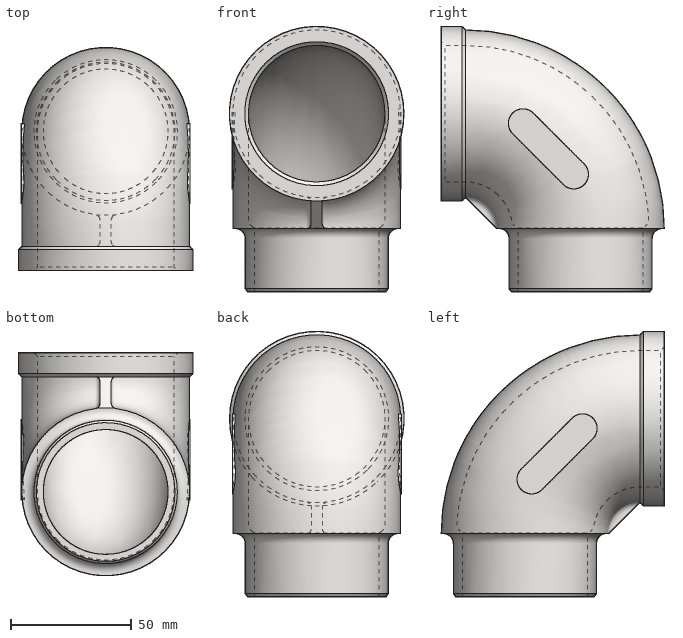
import cadquery as cq
import math


total_height = 110.2
collar_radius = 36.3
elbow_radius = 34.8
bend_radius = 47.7
socket_reach = 57.9

socket_chamfer = 1.5
collar_chamfer = collar_radius - elbow_radius

spigot_radius = 29.8
spigot_end_chamfer_width = 1.0
spigot_end_chamfer_height = 1.4
neck_fillet = 4.0

elbow_bore_radius = 28.3
spigot_bore_radius = 25.9

rib_width = 4.5
rib_fillet = 2.5

pad_radius = 6.1
pad_center_distance = 29.9
pad_shift = 0.9
pad_face_x = 35.1
pad_depth = 3.3

diagonal = math.sin(math.radians(45))
socket_axis_z = total_height - collar_radius
bend_center_z = socket_axis_z - bend_radius
bend_center_y = -bend_radius
socket_length = socket_reach - bend_radius
collar_length = socket_length - collar_chamfer
bend_inner_radius = bend_radius - elbow_radius
pad_center_y = bend_center_y + (bend_radius + pad_shift) * diagonal
pad_center_z = bend_center_z + (bend_radius - pad_shift) * diagonal


def quarter_bend(radius):
    """Quarter torus joining the spigot axis to the socket axis."""
    return (
        cq.Workplane("XY", origin=(0, 0, bend_center_z))
        .circle(radius)
        .revolve(90, (-1.1, bend_center_y, 0), (1.1, bend_center_y, 0))
    )


def turn_profile(profile):
    """Close a half profile and revolve it about the workplane's local Y axis."""
    return profile.close().revolve(360, (0, 0, 0), (0, 1, 0))


def spigot():
    """Plain tube end, chamfered below and flared by a concave fillet up to the shoulder."""
    fillet_start_z = bend_center_z - neck_fillet
    fillet_sag = neck_fillet * (1 - diagonal)
    return turn_profile(
        cq.Workplane("XZ")
        .lineTo(spigot_radius - spigot_end_chamfer_width, 0)
        .lineTo(spigot_radius, spigot_end_chamfer_height)
        .lineTo(spigot_radius, fillet_start_z)
        .threePointArc(
            (spigot_radius + fillet_sag, bend_center_z - fillet_sag),
            (spigot_radius + neck_fillet, bend_center_z),
        )
        .lineTo(0, bend_center_z)
    )


def spigot_bore():
    return cq.Workplane("XY").circle(spigot_bore_radius).extrude(bend_center_z + neck_fillet)


def elbow_bore():
    """Curved passage whose lower end is rounded where it meets the narrower spigot bore."""
    return quarter_bend(elbow_bore_radius).faces("<Z").edges().fillet(neck_fillet)


def socket_profile():
    """Start a half profile in radius and depth, with depth zero on the socket face."""
    return cq.Workplane("XY", origin=(0, -socket_reach, socket_axis_z))


def socket_collar():
    return turn_profile(
        socket_profile()
        .lineTo(collar_radius, 0)
        .lineTo(collar_radius, collar_length)
        .lineTo(elbow_radius, socket_length)
        .lineTo(0, socket_length)
    )


def socket_bore():
    return turn_profile(
        socket_profile()
        .lineTo(elbow_bore_radius + socket_chamfer, 0)
        .lineTo(elbow_bore_radius, socket_chamfer)
        .lineTo(elbow_bore_radius, socket_length)
        .lineTo(0, socket_length)
    )


def rib():
    """Web across the inside of the bend, blended into the elbow by concave fillets.

    The cross-section is revolved about the bend axis and cut off by the 45 degree
    chord that joins the two ends of the bend's inner edge.
    """
    half_width = rib_width / 2
    fillet_x = half_width + rib_fillet
    fillet_y = -math.sqrt((elbow_radius + rib_fillet) ** 2 - fillet_x**2)
    to_elbow = elbow_radius / (elbow_radius + rib_fillet)
    tangent_x = fillet_x * to_elbow
    tangent_y = fillet_y * to_elbow
    start_angle = math.pi
    end_angle = math.atan2(-fillet_y, -fillet_x)
    mid_angle = (start_angle + end_angle) / 2
    mid_x = fillet_x + rib_fillet * math.cos(mid_angle)
    mid_y = fillet_y + rib_fillet * math.sin(mid_angle)
    root_y = -(elbow_radius + elbow_bore_radius) / 2

    section = (
        cq.Workplane("XY", origin=(0, 0, bend_center_z))
        .moveTo(-half_width, bend_center_y)
        .lineTo(half_width, bend_center_y)
        .lineTo(half_width, fillet_y)
        .threePointArc((mid_x, mid_y), (tangent_x, tangent_y))
        .lineTo(tangent_x, root_y)
        .lineTo(-tangent_x, root_y)
        .lineTo(-tangent_x, tangent_y)
        .threePointArc((-mid_x, mid_y), (-half_width, fillet_y))
        .close()
    )
    web = section.revolve(90, (-1.1, bend_center_y, 0), (1.1, bend_center_y, 0))
    corner = (
        cq.Workplane("YZ", origin=(-elbow_radius, bend_center_y, bend_center_z))
        .polyline([(0, 0), (bend_inner_radius, 0), (0, bend_inner_radius)])
        .close()
        .extrude(2 * elbow_radius)
    )
    return web.cut(corner)


def side_pad(side):
    """Flat label pad on the elbow flank, lying along the bend at 45 degrees."""
    plane = cq.Plane(
        origin=(side * (pad_face_x - pad_depth), pad_center_y, pad_center_z),
        xDir=(0, 1, -1),
        normal=(side, 0, 0),
    )
    pad_length = pad_center_distance + 2 * pad_radius
    return cq.Workplane(plane).slot2D(pad_length, 2 * pad_radius).extrude(pad_depth)


outer = quarter_bend(elbow_radius).union(spigot()).union(socket_collar()).union(rib())
for side in (-1, 1):
    outer = outer.union(side_pad(side))

bore = elbow_bore().union(spigot_bore()).union(socket_bore())

result = outer.cut(bore)